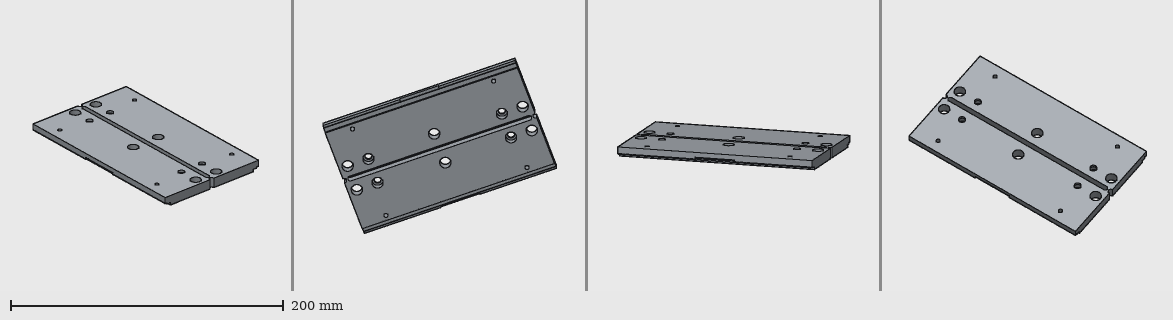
import cadquery as cq

length = 150.0
width = 89.8
thickness = 8.0

upper_layer = 5.1
middle_layer_bottom = 6.0
first_step = 1.8
second_step = 5.1

recess_length = 30.3
recess_top = 3.6
recess_depth = 3.0
recess_corner_radius = 1.2

slot_length = 143.1
slot_width = 3.6
notch_depth = 2.1

pin_hole_diameter = 3.0
pin_hole_x = 55.0
pin_hole_y = 36.0
screw_hole_diameter = 5.1
screw_hole_x = 52.0
large_hole_diameter = 8.2
large_hole_x = 68.2
row_y = 9.9
middle_hole_y = 12.0

counterbore_diameter = 8.2
counterbore_depth = 6.0


def centered_box(size_x, size_y, bottom, top):
    """Box centred on the Z axis between two heights."""
    return (
        cq.Workplane("XY")
        .workplane(offset=bottom)
        .rect(size_x, size_y)
        .extrude(top - bottom)
    )


def vertical_holes(points, diameter, depth):
    """Cylinders rising from the underside."""
    return cq.Workplane("XY").pushPoints(points).circle(diameter / 2).extrude(depth)


def mirrored_points(x, y):
    """One point in each quadrant."""
    return [(sx * x, sy * y) for sx in (-1, 1) for sy in (-1, 1)]


def stepped_plate():
    step_height = thickness - upper_layer
    lower_height = thickness - middle_layer_bottom
    lower = centered_box(length, width - 2 * second_step, 0, lower_height)
    middle = centered_box(length, width - 2 * first_step, lower_height, step_height)
    upper = centered_box(length, width, step_height, thickness)
    return lower.union(middle).union(upper)


def edge_recess(side):
    """Recess with rounded inner corners; it overshoots the long edge."""
    recess = centered_box(
        recess_length, 2 * recess_depth, thickness - upper_layer, thickness - recess_top
    )
    inner_corners = "|Z and <Y" if side > 0 else "|Z and >Y"
    return recess.edges(inner_corners).fillet(recess_corner_radius).translate((0, side * width / 2, 0))


def round_ended_slot(center_x, slot_total):
    return (
        cq.Workplane("XY")
        .center(center_x, 0)
        .slot2D(slot_total, slot_width)
        .extrude(thickness)
    )


result = stepped_plate()

for side in (-1, 1):
    result = result.cut(edge_recess(side))
    result = result.cut(round_ended_slot(side * length / 2, 2 * notch_depth))

result = result.cut(round_ended_slot(0, slot_length))

screw_points = mirrored_points(screw_hole_x, row_y)
middle_points = [(0, -middle_hole_y), (0, middle_hole_y)]
large_points = mirrored_points(large_hole_x, row_y) + middle_points
pin_points = mirrored_points(pin_hole_x, pin_hole_y)

result = result.cut(vertical_holes(pin_points, pin_hole_diameter, thickness))
result = result.cut(vertical_holes(large_points, large_hole_diameter, thickness))
result = result.cut(vertical_holes(screw_points, screw_hole_diameter, thickness))
result = result.cut(vertical_holes(screw_points, counterbore_diameter, counterbore_depth))